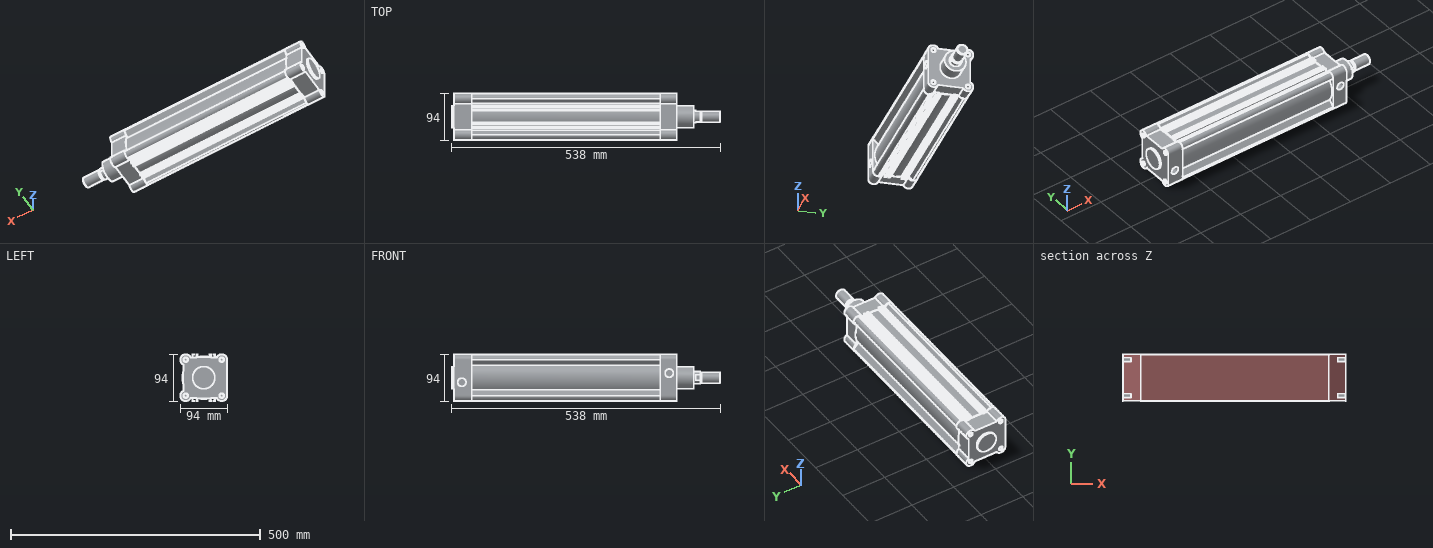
import cadquery as cq
import math


REAR_CAP_X = 4.0
TUBE_X = 40.0
FRONT_CAP_X = 417.0
NECK_X = 451.0
NECK_END_X = 485.0
FLATS_X = 488.5
ROD_SHOULDER_X = 497.5
THREAD_X = 499.0
ROD_END_X = 538.0

CAP_SIZE = 94.0
HALF_CAP = CAP_SIZE / 2
HALF_CORE = 41.0
SCREW_OFFSET = 36.0
LOBE_RADIUS = HALF_CAP - SCREW_OFFSET
COLLAR_DIAMETER = 44.5

SCREW_HOLE_DIAMETER = 7.5
SCREW_HOLE_CHAMFER = 1.0
SCREW_HOLE_DEPTH = 16.0

PORT_DIAMETER = 16.5
PORT_DEPTH = 16.0
PORT_Z_OFFSET = 9.0
REAR_PORT_X = 20.0
FRONT_PORT_X = 435.0

BARREL_RADIUS = 43.0
HALF_TUBE = 47.0
FLOOR_Y = 27.0
FLOOR_Z = HALF_TUBE - (SCREW_OFFSET - FLOOR_Y)

RAIL_TOP_Z = 47.0
LIP_BOTTOM_Z = 45.5
FOOT_TOP_Z = 42.5
RIB_BASE_Z = 35.0
RIB_WIDTH = 4.0
WEB_WIDTH = 1.5
INNER_RIB_Y = 13.5
OUTER_WALL_Y = 23.0

ROD_RADIUS = 12.5
WRENCH_SIZE = 22.0
THREAD_RADIUS = 11.5
THREAD_CHAMFER = 1.5


def x_plane(x):
    """Work plane at station x with local axes Y and Z, extruding toward +X."""
    return cq.Workplane("YZ", origin=(x, 0, 0))


def corner_points():
    return [(y, z) for y in (-SCREW_OFFSET, SCREW_OFFSET) for z in (-SCREW_OFFSET, SCREW_OFFSET)]


def cap_block(x_start, x_end):
    """Square block with round corner lobes; the -Y port side is flat across its lobes."""
    length = x_end - x_start
    core = x_plane(x_start).rect(2 * HALF_CORE, 2 * HALF_CORE).extrude(length)
    lobes = x_plane(x_start).pushPoints(corner_points()).circle(LOBE_RADIUS).extrude(length)
    port_pad = (
        x_plane(x_start)
        .center(-(HALF_CAP + SCREW_OFFSET) / 2, 0)
        .rect(LOBE_RADIUS, 2 * SCREW_OFFSET)
        .extrude(length)
    )
    return core.union(lobes).union(port_pad)


def screw_holes(face_x, inward):
    """Chamfered blind holes from an outer cap face; inward is +1 or -1 along X."""
    hole_radius = SCREW_HOLE_DIAMETER / 2
    mouth_radius = hole_radius + SCREW_HOLE_CHAMFER
    chamfer_x = face_x + inward * SCREW_HOLE_CHAMFER
    bottom_x = face_x + inward * SCREW_HOLE_DEPTH
    cutter = (
        cq.Workplane("XY")
        .moveTo(face_x, 0)
        .lineTo(face_x, mouth_radius)
        .lineTo(chamfer_x, hole_radius)
        .lineTo(bottom_x, hole_radius)
        .lineTo(bottom_x, 0)
        .close()
        .revolve(360, (0, 0, 0), (1, 0, 0))
    )
    cutters = cq.Workplane("XY")
    for y, z in corner_points():
        cutters = cutters.add(cutter.translate((0, y, z)))
    return cutters.combine()


def port(x, z):
    """Blind air port drilled from the -Y face."""
    return cq.Workplane("XZ", origin=(x, -HALF_CAP, z)).circle(PORT_DIAMETER / 2).extrude(-PORT_DEPTH)


def collar(x_start, x_end):
    return x_plane(x_start).circle(COLLAR_DIAMETER / 2).extrude(x_end - x_start)


def make_rear_cap():
    cap = cap_block(REAR_CAP_X, TUBE_X).union(collar(0, REAR_CAP_X))
    return cap.cut(screw_holes(REAR_CAP_X, 1)).cut(port(REAR_PORT_X, -PORT_Z_OFFSET))


def make_front_cap():
    cap = cap_block(FRONT_CAP_X, NECK_X).union(collar(NECK_X, NECK_END_X))
    rod_bore = x_plane(FRONT_CAP_X).circle(ROD_RADIUS).extrude(NECK_END_X - FRONT_CAP_X)
    cap = cap.cut(rod_bore).cut(screw_holes(NECK_X, -1))
    return cap.cut(port(FRONT_PORT_X, PORT_Z_OFFSET))


def tube_lobe():
    """Corner lobe in the +Y +Z quadrant: a quarter round, a 45 degree flank and a rail floor."""
    lobe_radius = HALF_TUBE - SCREW_OFFSET
    arc_middle = SCREW_OFFSET + lobe_radius * math.sqrt(0.5)
    return (
        x_plane(TUBE_X)
        .moveTo(lobe_radius, 0)
        .lineTo(HALF_TUBE, SCREW_OFFSET)
        .threePointArc((arc_middle, arc_middle), (SCREW_OFFSET, HALF_TUBE))
        .lineTo(FLOOR_Y, FLOOR_Z)
        .lineTo(lobe_radius, FLOOR_Z)
        .close()
        .extrude(FRONT_CAP_X - TUBE_X)
    )


def tube_strip(y_start, y_end, z_start, z_end):
    """Full-length rectangular strip of the tube profile."""
    return (
        x_plane(TUBE_X)
        .center((y_start + y_end) / 2, (z_start + z_end) / 2)
        .rect(y_end - y_start, z_end - z_start)
        .extrude(FRONT_CAP_X - TUBE_X)
    )


def inner_rib():
    """Rib with a lip on top, a thin web and a wider foot."""
    side = INNER_RIB_Y - RIB_WIDTH / 2
    web_side = INNER_RIB_Y - WEB_WIDTH / 2
    lip = tube_strip(side, side + RIB_WIDTH, LIP_BOTTOM_Z, RAIL_TOP_Z)
    web = tube_strip(web_side, web_side + WEB_WIDTH, FOOT_TOP_Z, LIP_BOTTOM_Z)
    foot = tube_strip(side, side + RIB_WIDTH, RIB_BASE_Z, FOOT_TOP_Z)
    return lip.union(web).union(foot)


def outer_rib():
    """Rib with a plain outer wall and a lip that turns in over the slot."""
    lip = tube_strip(OUTER_WALL_Y - RIB_WIDTH, OUTER_WALL_Y, LIP_BOTTOM_Z, RAIL_TOP_Z)
    web = tube_strip(OUTER_WALL_Y - WEB_WIDTH, OUTER_WALL_Y, RIB_BASE_Z, LIP_BOTTOM_Z)
    return lip.union(web)


def make_tube():
    """Barrel with four corner lobes, and a pair of sensor ribs beside each lobe, above and below."""
    barrel = x_plane(TUBE_X).circle(BARREL_RADIUS).extrude(FRONT_CAP_X - TUBE_X)
    quadrant = barrel.union(tube_lobe()).union(inner_rib()).union(outer_rib())
    upper_half = quadrant.union(quadrant.mirror("XZ"))
    return upper_half.union(upper_half.mirror("XY"))


def make_rod():
    """Rod through the front cap, with two wrench flats and a chamfered threaded end."""
    relief_radius = THREAD_RADIUS - THREAD_CHAMFER
    rod = (
        cq.Workplane("XY")
        .moveTo(FRONT_CAP_X, 0)
        .lineTo(FRONT_CAP_X, ROD_RADIUS)
        .lineTo(ROD_SHOULDER_X, ROD_RADIUS)
        .lineTo(ROD_SHOULDER_X, relief_radius)
        .lineTo(THREAD_X, relief_radius)
        .lineTo(THREAD_X + THREAD_CHAMFER, THREAD_RADIUS)
        .lineTo(ROD_END_X - THREAD_CHAMFER, THREAD_RADIUS)
        .lineTo(ROD_END_X, relief_radius)
        .lineTo(ROD_END_X, 0)
        .close()
        .revolve(360, (0, 0, 0), (1, 0, 0))
    )
    flat_depth = ROD_RADIUS - WRENCH_SIZE / 2
    flat_centre_y = (ROD_RADIUS + WRENCH_SIZE / 2) / 2
    flats = (
        x_plane(FLATS_X)
        .pushPoints([(-flat_centre_y, 0), (flat_centre_y, 0)])
        .rect(flat_depth, 2 * ROD_RADIUS)
        .extrude(ROD_SHOULDER_X - FLATS_X)
    )
    return rod.cut(flats)


rear_cap = make_rear_cap().solids()
tube = make_tube().solids()
front_cap = make_front_cap().solids()
rod = make_rod().solids()

result = cq.Compound.makeCompound([rear_cap.val(), tube.val(), front_cap.val(), rod.val()])